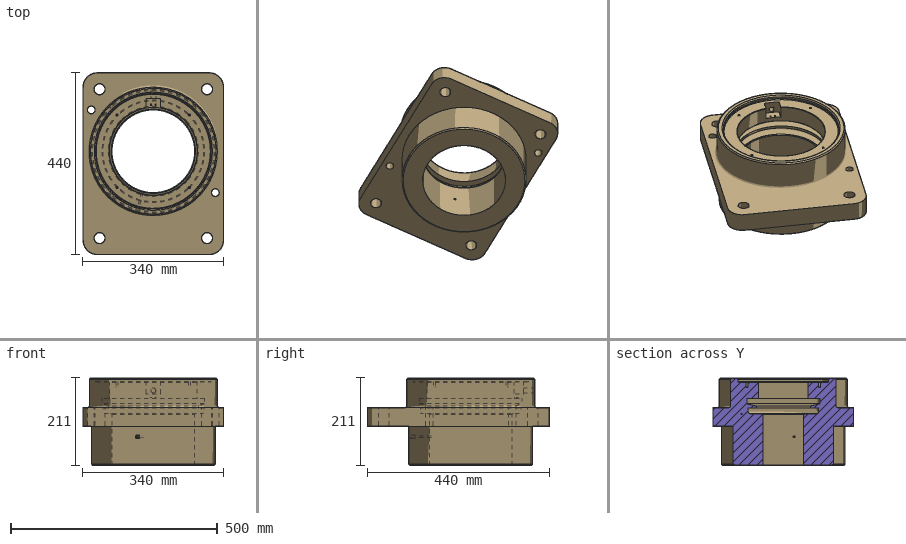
import cadquery as cq
import math


height = 211.0
plate_bottom = 94.0
plate_thickness = 45.5
plate_top = plate_bottom + plate_thickness

plate_width = 340.0
plate_length = 440.0
plate_back = 190.0
plate_center_y = plate_back - plate_length / 2
plate_corner_radius = 35.0

bolt_diameter = 26.0
bolt_edge_margin = 40.0
bolt_spacing_x = plate_width - 2 * bolt_edge_margin
bolt_spacing_y = plate_length - 2 * bolt_edge_margin
dowel_diameter = 18.0
dowel_x = 150.0
dowel_y = 100.0

upper_radius = 155.0
lower_radius = 150.0
rim_chamfer = 3.0
base_fillet = 5.0

recess_radius = 140.0
recess_depth = 10.0
recess_floor = height - recess_depth
recess_chamfer = 3.0
recess_foot_chamfer = 2.0

bore_radius = 106.0
bore_chamfer = 1.0
bore_depth = 40.0
bore_bottom = recess_floor - bore_depth
groove_radius = 122.0
lip_radius = 109.0
lip_top = 144.0
lip_thickness = 6.0
lip_bottom = lip_top - lip_thickness
lip_slope_width = 15.0
lip_slope_rise = 5.0
lip_slope_radius = lip_radius + lip_slope_width
ledge = 125.0
ledge_fillet = 5.0
through_radius = 100.0
through_chamfer = 2.0

screw_diameter = 4.5
screw_depth = 12.0
screw_circle_radius = 124.0
screw_count = 4
first_screw_angle = 45.0

pocket_width = 36.0
pocket_back = 128.0
pocket_depth = 29.0
pocket_corner_radius = 4.0
pocket_floor = recess_floor - pocket_depth
pin_diameter = 3.0
pin_depth = 8.0
pin_spacing = 11.0
pin_y = 112.5
cable_diameter = 12.0
cable_depth = 20.0
cable_z = recess_floor - cable_depth

port_angle = 15.0
port_z = 69.0
port_diameter = 9.0
port_depth = 10.0
port_bore_diameter = 4.0

fillet_middle_offset = 1 - math.sqrt(0.5)


def make_plate():
    """Rounded mounting plate with four bolt holes and two dowel holes."""
    plate = (
        cq.Workplane("XY", origin=(0, plate_center_y, plate_bottom))
        .rect(plate_width, plate_length)
        .extrude(plate_thickness)
        .edges("|Z")
        .fillet(plate_corner_radius)
    )
    bolts = (
        cq.Workplane("XY", origin=(0, plate_center_y, plate_bottom))
        .rect(bolt_spacing_x, bolt_spacing_y, forConstruction=True)
        .vertices()
        .circle(bolt_diameter / 2)
        .extrude(plate_thickness)
    )
    dowels = (
        cq.Workplane("XY", origin=(0, 0, plate_bottom))
        .pushPoints([(-dowel_x, dowel_y), (dowel_x, -dowel_y)])
        .circle(dowel_diameter / 2)
        .extrude(plate_thickness)
    )
    return plate.cut(bolts).cut(dowels)


def make_barrel():
    """Solid round barrel with chamfered rims and a fillet onto the plate."""
    fillet_end = (upper_radius, plate_top + base_fillet)
    fillet_middle = (
        upper_radius + base_fillet * fillet_middle_offset,
        plate_top + base_fillet * fillet_middle_offset,
    )
    return (
        cq.Workplane("XZ")
        .moveTo(0, 0)
        .lineTo(lower_radius - rim_chamfer, 0)
        .lineTo(lower_radius, rim_chamfer)
        .lineTo(lower_radius, plate_top)
        .lineTo(upper_radius + base_fillet, plate_top)
        .threePointArc(fillet_middle, fillet_end)
        .lineTo(upper_radius, height - rim_chamfer)
        .lineTo(upper_radius - rim_chamfer, height)
        .lineTo(0, height)
        .close()
        .revolve(360, (0, 0), (0, 1))
    )


def make_bore():
    """Stepped bore: cover recess, upper bore, two grooves around a lip, through bore."""
    fillet_middle = (
        groove_radius - ledge_fillet * fillet_middle_offset,
        ledge + ledge_fillet * fillet_middle_offset,
    )
    return (
        cq.Workplane("XZ")
        .moveTo(0, height)
        .lineTo(recess_radius + recess_chamfer, height)
        .lineTo(recess_radius, height - recess_chamfer)
        .lineTo(recess_radius, recess_floor + recess_foot_chamfer)
        .lineTo(recess_radius - recess_foot_chamfer, recess_floor)
        .lineTo(bore_radius + bore_chamfer, recess_floor)
        .lineTo(bore_radius, recess_floor - bore_chamfer)
        .lineTo(bore_radius, bore_bottom)
        .lineTo(lip_slope_radius, bore_bottom)
        .lineTo(lip_slope_radius, lip_top + lip_slope_rise)
        .lineTo(lip_radius, lip_top)
        .lineTo(lip_radius, lip_bottom)
        .lineTo(groove_radius, lip_bottom)
        .lineTo(groove_radius, ledge + ledge_fillet)
        .threePointArc(fillet_middle, (groove_radius - ledge_fillet, ledge))
        .lineTo(through_radius + through_chamfer, ledge)
        .lineTo(through_radius, ledge - through_chamfer)
        .lineTo(through_radius, 0)
        .lineTo(0, 0)
        .close()
        .revolve(360, (0, 0), (0, 1))
    )


def make_screw_holes():
    """Four blind holes on the diagonals of the recess floor."""
    return (
        cq.Workplane("XY", origin=(0, 0, recess_floor - screw_depth))
        .polarArray(screw_circle_radius, first_screw_angle, 360, screw_count)
        .circle(screw_diameter / 2)
        .extrude(screw_depth)
    )


def make_sensor_pocket():
    """Pocket open to the bore, with two pin holes and a cable hole out to +Y."""
    pocket = (
        cq.Workplane("XY", origin=(0, pocket_back / 2, pocket_floor))
        .rect(pocket_width, pocket_back)
        .extrude(pocket_depth)
        .edges("|Z and >Y")
        .fillet(pocket_corner_radius)
    )
    pins = (
        cq.Workplane("XY", origin=(0, pin_y, pocket_floor - pin_depth))
        .pushPoints([(-pin_spacing / 2, 0), (pin_spacing / 2, 0)])
        .circle(pin_diameter / 2)
        .extrude(pin_depth)
    )
    cable = (
        cq.Workplane("XZ", origin=(0, upper_radius, cable_z))
        .circle(cable_diameter / 2)
        .extrude(upper_radius - bore_radius)
    )
    return pocket.union(pins).union(cable)


def make_port():
    """Counterbored radial hole through the lower barrel wall."""
    mouth = (
        cq.Workplane("XZ", origin=(0, port_depth - lower_radius, port_z))
        .circle(port_diameter / 2)
        .extrude(port_depth)
    )
    bore = (
        cq.Workplane("XZ", origin=(0, 0, port_z))
        .circle(port_bore_diameter / 2)
        .extrude(lower_radius)
    )
    return mouth.union(bore).rotate((0, 0, 0), (0, 0, 1), -port_angle)


result = (
    make_plate()
    .union(make_barrel())
    .cut(make_bore())
    .cut(make_screw_holes())
    .cut(make_sensor_pocket())
    .cut(make_port())
)